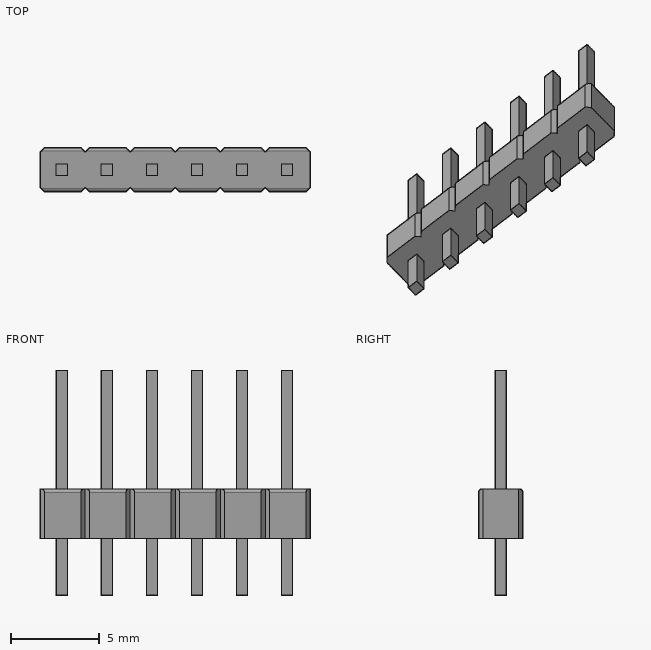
import cadquery as cq

pin_count = 6
body_length = 15.24
body_width = 2.5
body_height = 2.8
corner_chamfer = 0.25
top_edge_radius = 0.2

pin_width = 0.64
pin_length = 12.7
pin_tail = 3.2
pin_offset = -0.05

pitch = body_length / pin_count


def cell_center(index):
    """X position of the middle of one housing cell."""
    return (index - (pin_count - 1) / 2) * pitch


def make_cell_block():
    """Block with its long top edges rounded and its vertical corners chamfered."""
    rounded = (
        cq.Workplane("XY")
        .box(pitch, body_width, body_height, centered=(True, True, False))
        .edges("|X and >Z")
        .fillet(top_edge_radius)
    )
    half_length = pitch / 2
    half_width = body_width / 2
    shoulder_x = half_length - corner_chamfer
    shoulder_y = half_width - corner_chamfer
    footprint = (
        cq.Workplane("XY")
        .polyline([
            (-half_length, -shoulder_y),
            (-shoulder_x, -half_width),
            (shoulder_x, -half_width),
            (half_length, -shoulder_y),
            (half_length, shoulder_y),
            (shoulder_x, half_width),
            (-shoulder_x, half_width),
            (-half_length, shoulder_y),
        ])
        .close()
        .extrude(body_height)
    )
    return rounded.intersect(footprint)


def make_pin():
    """Square pin passing through the housing."""
    return (
        cq.Workplane("XY")
        .box(pin_width, pin_width, pin_length, centered=(True, True, False))
        .translate((pin_offset, 0, -pin_tail))
    )


cell = make_cell_block().union(make_pin())
result = cell.translate((cell_center(0), 0, 0))
for i in range(1, pin_count):
    result = result.union(cell.translate((cell_center(i), 0, 0)))
result = result.clean()